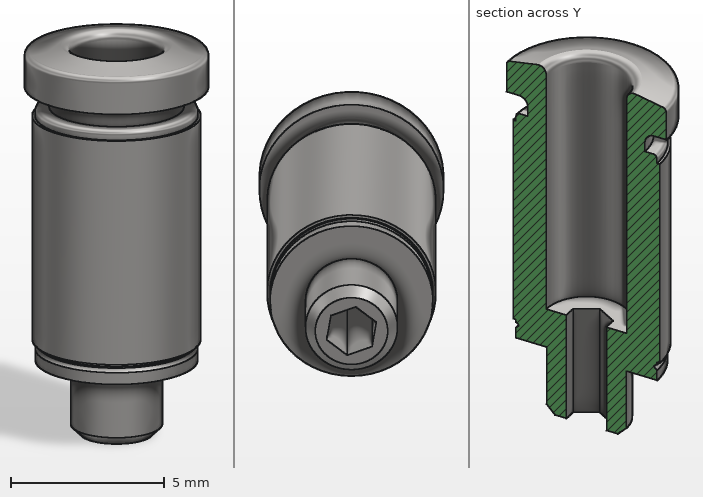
import cadquery as cq
import math

head_diameter = 6.0
body_diameter = 5.5
core_diameter = 5.3
neck_diameter = 4.4
pin_diameter = 3.0
bore_diameter = pin_diameter
hex_across_flats = bore_diameter / 2

total_height = 13.25
head_bottom = 11.83
core_top = 11.15
body_top = 10.84
body_bottom = 3.2
groove_height = 3.02
core_bottom = 2.5
bore_floor = 3.98

crown_rise = 0.19
head_round = 0.19
neck_fillet = 0.35
core_round = 0.16
groove_depth = 0.12
lip_height = 0.09
pin_chamfer = 0.32
bore_round = 0.3

head_radius = head_diameter / 2
body_radius = body_diameter / 2
core_radius = core_diameter / 2
neck_radius = neck_diameter / 2
pin_radius = pin_diameter / 2
bore_radius = bore_diameter / 2
groove_radius = core_radius - groove_depth
crown_edge = total_height - crown_rise
mouth_radius = bore_radius + bore_round
diagonal = math.sqrt(0.5)


def round_corner(profile, start, corner, end):
    """Add a convex or concave quarter round, tangent to both sides of the corner."""
    center = (start[0] + end[0] - corner[0], start[1] + end[1] - corner[1])
    middle = tuple(c + diagonal * (k - c) for c, k in zip(center, corner))
    return profile.threePointArc(middle, end)


def make_turned_body():
    """Revolve the outer half profile, from the pin tip up to the crowned head."""
    profile = (
        cq.Workplane("XZ")
        .lineTo(pin_radius - pin_chamfer, 0)
        .lineTo(pin_radius, pin_chamfer)
        .lineTo(pin_radius, core_bottom)
        .lineTo(core_radius, core_bottom)
        .lineTo(core_radius, groove_height - groove_depth)
        .lineTo(groove_radius, groove_height)
        .lineTo(core_radius, body_bottom - lip_height)
        .lineTo(core_radius, body_bottom)
        .lineTo(body_radius, body_bottom)
        .lineTo(body_radius, body_top)
        .lineTo(core_radius, body_top)
        .lineTo(core_radius, core_top - core_round)
    )
    profile = round_corner(
        profile,
        (core_radius, core_top - core_round),
        (core_radius, core_top),
        (core_radius - core_round, core_top),
    )
    profile = profile.lineTo(neck_radius, core_top).lineTo(neck_radius, head_bottom - neck_fillet)
    profile = round_corner(
        profile,
        (neck_radius, head_bottom - neck_fillet),
        (neck_radius, head_bottom),
        (neck_radius + neck_fillet, head_bottom),
    )
    profile = profile.lineTo(head_radius, head_bottom).lineTo(head_radius, crown_edge - head_round)
    profile = round_corner(
        profile,
        (head_radius, crown_edge - head_round),
        (head_radius, crown_edge),
        (head_radius - head_round, crown_edge),
    )
    profile = profile.lineTo(mouth_radius, total_height).lineTo(0, total_height).close()
    return profile.revolve(360, (0, 0, 0), (0, 1, 0))


def make_bore():
    """Tube bore with a rounded mouth and a flat floor."""
    profile = (
        cq.Workplane("XZ")
        .moveTo(0, bore_floor)
        .lineTo(bore_radius, bore_floor)
        .lineTo(bore_radius, total_height - bore_round)
    )
    profile = round_corner(
        profile,
        (bore_radius, total_height - bore_round),
        (bore_radius, total_height),
        (mouth_radius, total_height),
    )
    return profile.lineTo(0, total_height).close().revolve(360, (0, 0, 0), (0, 1, 0))


def make_hex_hole():
    """Hexagonal through hole with flats facing +X and -X."""
    across_corners = hex_across_flats / math.cos(math.pi / 6)
    hexagon = cq.Workplane("XY").polygon(6, across_corners).extrude(total_height)
    return hexagon.rotate((0, 0, 0), (0, 0, 1), 30)


result = make_turned_body().cut(make_bore()).cut(make_hex_hole())